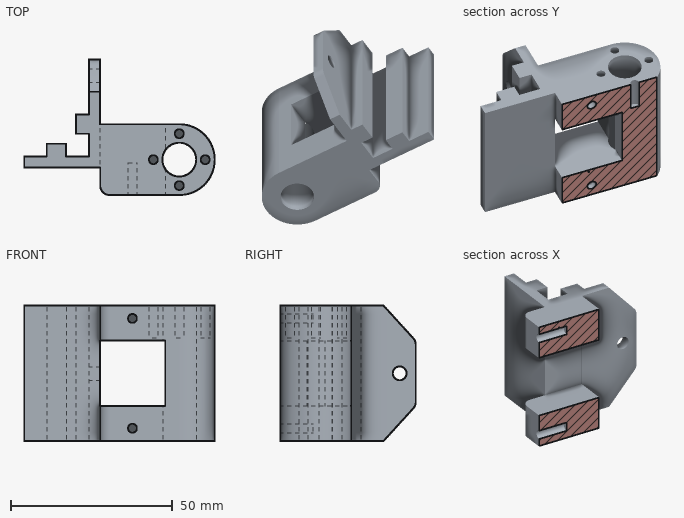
import cadquery as cq

length = 59.0
depth = 42.0
height = 42.0

body_width = 22.0
body_corner_radius = 3.0
bore_diameter = 10.4
screw_hole_diameter = 2.8
screw_hole_depth = 10.05
bore_screw_circle_radius = 8.0

window_size = 20.2
window_center_x = 33.5
front_screw_z = 17.0

plate_thickness = 3.5
plate_front_y = 8.5
corner_x = 23.5
rib_start = 10.5
rib_width = 6.0
rib_height = 4.0

ear_length = 10.05
ear_end_width = 20.0
ear_corner_radius = 3.0
ear_hole_diameter = 4.2
ear_hole_edge_distance = 5.0

body_radius = body_width / 2
bore_x = length - body_radius
bore_y = body_radius
inner_x = corner_x - plate_thickness
inner_y = plate_front_y + plate_thickness
ear_start_y = depth - ear_length


def block(x_min, x_max, y_min, y_max, block_height=height):
    """Box between the given X and Y limits, centred on Z = 0."""
    return cq.Workplane("XY").box(
        x_max - x_min, y_max - y_min, block_height, centered=(False, False, True)
    ).translate((x_min, y_min, 0))


def make_body():
    """Full-height block with a round end and one rounded front corner."""
    return (
        cq.Workplane("XY", origin=(0, 0, -height / 2))
        .moveTo(corner_x, 0)
        .lineTo(bore_x, 0)
        .threePointArc((length, bore_y), (bore_x, body_width))
        .lineTo(corner_x, body_width)
        .close()
        .extrude(height)
        .edges(cq.selectors.NearestToPointSelector((corner_x, 0, 0)))
        .fillet(body_corner_radius)
    )


def make_plates():
    """Side plate and rear plate in an L, with a rib inside each leg."""
    side_rib_end_x = corner_x - rib_start
    rear_rib_start_y = plate_front_y + rib_start
    side_plate = block(0, corner_x, plate_front_y, inner_y)
    rear_plate = block(inner_x, corner_x, plate_front_y, ear_start_y)
    side_rib = block(side_rib_end_x - rib_width, side_rib_end_x, inner_y, inner_y + rib_height)
    rear_rib = block(inner_x - rib_height, inner_x, rear_rib_start_y, rear_rib_start_y + rib_width)
    return side_plate.union(rear_plate).union(side_rib).union(rear_rib)


def make_ear():
    """Tapered tab with rounded outer corners and a mounting hole."""
    ear = (
        cq.Workplane("YZ", origin=(inner_x, 0, 0))
        .polyline([
            (ear_start_y, -height / 2),
            (depth, -ear_end_width / 2),
            (depth, ear_end_width / 2),
            (ear_start_y, height / 2),
        ])
        .close()
        .extrude(plate_thickness)
        .edges("|X and >Y")
        .fillet(ear_corner_radius)
    )
    hole = (
        cq.Workplane("YZ", origin=(inner_x, 0, 0))
        .center(depth - ear_hole_edge_distance, 0)
        .circle(ear_hole_diameter / 2)
        .extrude(plate_thickness)
    )
    return ear.cut(hole)


def make_window():
    """Square opening running front to back through the body."""
    window_x = window_center_x - window_size / 2
    return block(window_x, window_x + window_size, 0, body_width, window_size)


def make_bore():
    """Vertical bore concentric with the round end."""
    return (
        cq.Workplane("XY", origin=(bore_x, bore_y, -height / 2))
        .circle(bore_diameter / 2)
        .extrude(height)
    )


def make_top_screw_holes():
    """Four blind holes around the bore in the top face."""
    return (
        cq.Workplane("XY", origin=(bore_x, bore_y, height / 2))
        .polarArray(bore_screw_circle_radius, 0, 360, 4)
        .circle(screw_hole_diameter / 2)
        .extrude(-screw_hole_depth)
    )


def make_front_screw_holes():
    """Blind holes in the front face, above and below the window."""
    return (
        cq.Workplane("XZ", origin=(window_center_x, 0, 0))
        .pushPoints([(0, -front_screw_z), (0, front_screw_z)])
        .circle(screw_hole_diameter / 2)
        .extrude(-screw_hole_depth)
    )


result = (
    make_body()
    .union(make_plates())
    .union(make_ear())
    .cut(make_window())
    .cut(make_bore())
    .cut(make_top_screw_holes())
    .cut(make_front_screw_holes())
)